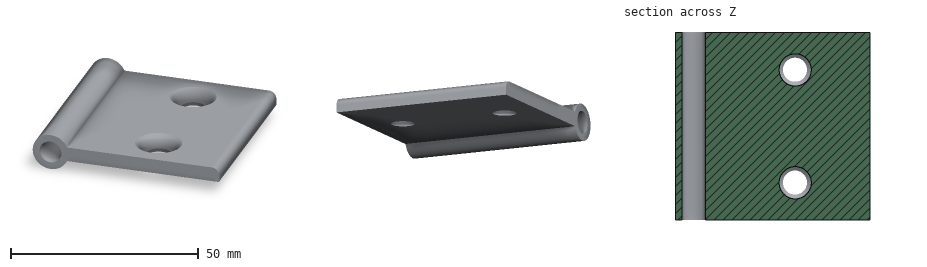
import cadquery as cq

overall_length = 52.0
width = 50.0
knuckle_diameter = 10.0
pin_bore_diameter = 6.1
leaf_thickness = 4.0
top_edge_radius = 2.0

screw_diameter = 6.4
countersink_diameter = 12.5
countersink_angle = 90.0
screw_edge_distance = 20.0
screw_spacing = 30.0

knuckle_radius = knuckle_diameter / 2
free_edge_x = overall_length - knuckle_radius
leaf_top = leaf_thickness / 2


def cylinder_along_y(diameter):
    return cq.Workplane("XZ").circle(diameter / 2).extrude(width / 2, both=True)


def make_leaf():
    """Flat plate from the knuckle axis to the rounded free edge."""
    plate = cq.Workplane("XY").box(free_edge_x, width, leaf_thickness, centered=(False, True, True))
    return plate.edges(">X and >Z").fillet(top_edge_radius)


def cut_screw_holes(body):
    """Two through holes, countersunk from the top face."""
    return (
        body.copyWorkplane(cq.Workplane("XY", origin=(free_edge_x - screw_edge_distance, 0, leaf_top)))
        .pushPoints([(0, -screw_spacing / 2), (0, screw_spacing / 2)])
        .cskHole(screw_diameter, countersink_diameter, countersink_angle)
    )


hinge = make_leaf().union(cylinder_along_y(knuckle_diameter))
hinge = hinge.cut(cylinder_along_y(pin_bore_diameter))
result = cut_screw_holes(hinge)